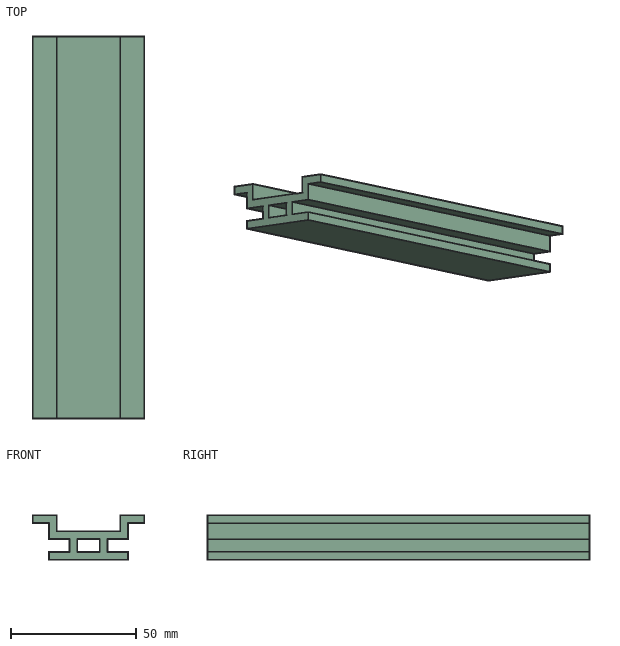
import cadquery as cq

length = 152.4
wall = 3.2
overall_width = 44.5
overall_height = 17.8
lip_overhang = 6.4
channel_depth = 6.4
web_gap = 8.8

lip_half = overall_width / 2
body_half = lip_half - lip_overhang
channel_half = body_half - wall
web_inner = web_gap / 2
web_outer = web_inner + wall

lip_bottom = overall_height - wall
floor_top = overall_height - channel_depth
floor_bottom = floor_top - wall
foot_top = wall


def mirrored_outline(right_side):
    """Close a right-hand outline with its mirror image about X = 0."""
    left_side = [(-x, z) for x, z in reversed(right_side)]
    return right_side + left_side


right_side = [
    (body_half, 0),
    (body_half, foot_top),
    (web_outer, foot_top),
    (web_outer, floor_bottom),
    (body_half, floor_bottom),
    (body_half, lip_bottom),
    (lip_half, lip_bottom),
    (lip_half, overall_height),
    (channel_half, overall_height),
    (channel_half, floor_top),
]

profile = cq.Workplane("XZ").polyline(mirrored_outline(right_side)).close()
body = profile.extrude(length / 2, both=True)

passage_height = floor_bottom - foot_top
passage = cq.Workplane("XY").box(web_gap, length, passage_height, centered=(True, True, False))

result = body.cut(passage.translate((0, 0, foot_top)))